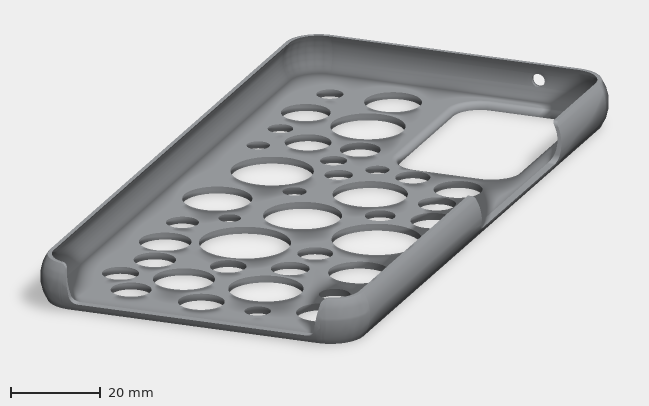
import cadquery as cq

width = 78.2
length = 162.8
height = 10.6
corner_radius = 9.5
floor_thickness = 1.6
wall_thickness = 1.0
rim_width = 1.0
edge_inset = 1.6

camera_center = (18.2, 51.6)
camera_width = 28.0
camera_length = 44.8
camera_corner_radius = 6.4
camera_edge_fillet = 1.55

sill_height = 1.8
notch_end_slope = 1.6
notch_bottom_fillet = 2.0
notch_rim_fillet = 1.3
bottom_notch_width = 61.2
side_notch_width = 50.5
side_notch_y = 20.4
notch_depth = 4.9

rim_clearance = 3.3
selection_margin = 0.08

microphone_diameter = 3.1
microphone_x = 19.5
microphone_z = 6.2

floor_holes = [
    (-10.0, 67.1, 12.9), (-24.9, 66.8, 6.0), (-25.5, 53.7, 11.0), (-9.5, 50.5, 16.8),
    (-27.0, 42.0, 5.7), (-18.0, 36.0, 10.5), (-5.5, 35.8, 9.1), (-27.7, 30.1, 5.2),
    (-8.5, 27.0, 6.0), (2.8, 25.0, 5.4), (11.9, 23.5, 7.8), (-18.7, 15.8, 18.5),
    (24.1, 19.9, 10.9), (-4.0, 18.9, 6.4), (7.0, 10.0, 16.8), (23.1, 9.5, 8.5),
    (-9.3, 5.4, 5.4), (26.2, -1.0, 10.0), (-23.6, -5.2, 15.6), (14.2, -2.3, 6.8),
    (-2.0, -8.5, 17.6), (19.0, -16.8, 20.2), (-16.5, -16.0, 5.0), (-25.2, -22.3, 7.3),
    (-7.5, -29.5, 20.5), (9.6, -30.3, 8.0), (-24.3, -35.3, 11.7), (23.3, -38.1, 14.0),
    (8.0, -41.4, 8.6), (-5.4, -45.1, 8.1), (-22.1, -47.0, 9.5), (7.7, -55.4, 16.8),
    (-11.5, -56.3, 13.8), (23.3, -53.2, 7.0), (-26.0, -58.0, 8.3), (25.0, -65.1, 11.9),
    (-20.0, -67.0, 9.1), (-2.6, -68.5, 10.5), (11.2, -69.5, 5.9),
]


def bulged_profile(half_width, z_bottom, end_inset, mid_inset):
    """Half section from the centre line out to a side arc, inset at its ends and its middle."""
    end = half_width - end_inset
    middle = half_width - mid_inset
    return (
        cq.Workplane("XZ")
        .moveTo(0, z_bottom)
        .lineTo(end, z_bottom)
        .threePointArc((middle, (z_bottom + height) / 2), (end, height))
        .lineTo(0, height)
        .close()
    )


def bulged_block(z_bottom, end_inset, mid_inset):
    """Rounded block up to the rim, with bulged sides and matching round corners."""
    straight_x = width - 2 * corner_radius
    straight_y = length - 2 * corner_radius
    side = bulged_profile(width / 2, z_bottom, end_inset, mid_inset).extrude(straight_y / 2, both=True)
    end = (
        bulged_profile(length / 2, z_bottom, end_inset, mid_inset)
        .extrude(straight_x / 2, both=True)
        .rotate((0, 0, 0), (0, 0, 1), 90)
    )
    block = side.union(end)
    for half in (side, end):
        block = block.union(half.rotate((0, 0, 0), (0, 0, 1), 180))
    corner = bulged_profile(corner_radius, z_bottom, end_inset, mid_inset).revolve(360, (0, 0, 0), (0, 1, 0))
    for x in (-straight_x / 2, straight_x / 2):
        for y in (-straight_y / 2, straight_y / 2):
            block = block.union(corner.translate((x, y, 0)))
    return block


def level_edges(center_x, size_x, center_y, size_y, level):
    """Selector for edges lying at one height within a rectangle, both with a small margin."""
    half_x = size_x / 2 + selection_margin
    half_y = size_y / 2 + selection_margin
    return cq.selectors.BoxSelector(
        (center_x - half_x, center_y - half_y, level - selection_margin),
        (center_x + half_x, center_y + half_y, level + selection_margin),
        boundingbox=True,
    )


def wall_notch(opening):
    """Notch cutter centred on x = 0, with its outer face on y = 0 and reaching toward +Y."""
    half_top = opening / 2
    half_sill = half_top - notch_end_slope
    half_cutter = half_top + rim_clearance
    cutter = (
        cq.Workplane("XZ")
        .moveTo(-half_sill, sill_height)
        .lineTo(half_sill, sill_height)
        .lineTo(half_top, height)
        .lineTo(half_cutter, height)
        .lineTo(half_cutter, height + rim_clearance)
        .lineTo(-half_cutter, height + rim_clearance)
        .lineTo(-half_cutter, height)
        .lineTo(-half_top, height)
        .close()
        .extrude(-notch_depth)
    )
    notch_mid_y = notch_depth / 2
    sill_edges = level_edges(0, opening, notch_mid_y, notch_depth, sill_height)
    rim_edges = level_edges(0, opening, notch_mid_y, notch_depth, height)
    cutter = cutter.edges("|Y").edges(sill_edges).fillet(notch_bottom_fillet)
    return cutter.edges("|Y").edges(rim_edges).fillet(notch_rim_fillet)


outer_block = bulged_block(0, edge_inset, 0)
cavity = bulged_block(floor_thickness, edge_inset + rim_width, wall_thickness)
case = outer_block.cut(cavity)

camera_outline = cq.Sketch().rect(camera_width, camera_length).vertices().fillet(camera_corner_radius)
camera_opening = cq.Workplane(origin=(*camera_center, 0)).placeSketch(camera_outline).extrude(floor_thickness)
case = case.cut(camera_opening)
camera_x, camera_y = camera_center
camera_edge = level_edges(camera_x, camera_width, camera_y, camera_length, floor_thickness)
case = case.edges(camera_edge).fillet(camera_edge_fillet)

for hole_x, hole_y, diameter in floor_holes:
    case = case.cut(cq.Workplane().center(hole_x, hole_y).circle(diameter / 2).extrude(floor_thickness))

bottom_notch = wall_notch(bottom_notch_width).translate((0, -length / 2, 0))
side_notch = (
    wall_notch(side_notch_width)
    .rotate((0, 0, 0), (0, 0, 1), 90)
    .translate((width / 2, side_notch_y, 0))
)
case = case.cut(bottom_notch).cut(side_notch)

microphone_hole = (
    cq.Workplane("XZ", origin=(microphone_x, length / 2, microphone_z))
    .circle(microphone_diameter / 2)
    .extrude(notch_depth)
)
result = case.cut(microphone_hole)